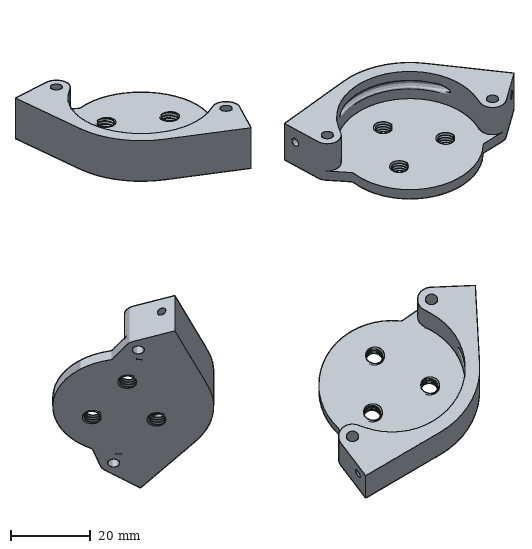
import cadquery as cq
import math

body_height = 11.7
plate_height = 3.0

plate_radius = 18.35

boss_distance = 21.95
boss_radius = 3.5
boss_hole_diameter = 3.0
boss_axis_angle = 35.0
web_start_angle = 19.3
notch_fillet = 1.0
edge_margin = 0.1

bore_flat_length = 1.5

wall_radius = 22.0
arm_angle = 29.5

channel_diameter = 2.2
channel_radius = 18.45
channel_height = 7.5
mouth_fillet = 0.3

thread_count = 3
thread_circle_radius = 9.38
first_thread_angle = 90.0
minor_diameter = 4.23
major_diameter = 5.12
thread_pitch = 0.8
groove_mouth = 0.7
groove_root = 0.1
groove_overlap = 0.03
ring_radius = 4.0
groove_top_angle = 15.0

arm_normal_angle = math.radians(arm_angle - 90)
arm_length = boss_distance * math.cos(math.radians(arm_angle)) + boss_radius


def polar(radius, angle):
    return radius * math.cos(angle), radius * math.sin(angle)


def along_arm(radius, distance):
    """Point on the right arm: `radius` out from the plate axis, `distance` along the arm."""
    across_x, across_y = polar(radius, arm_normal_angle)
    along_x, along_y = polar(distance, arm_normal_angle + math.pi / 2)
    return across_x + along_x, across_y + along_y


def mirrored(point):
    return -point[0], point[1]


def tangent_point_on_boss(start):
    """Where the upper tangent from `start` touches the right boss."""
    offset_x = start[0] - boss_distance
    offset_y = start[1]
    spread = math.acos(boss_radius / math.hypot(offset_x, offset_y))
    touch_x, touch_y = polar(boss_radius, math.atan2(offset_y, offset_x) - spread)
    return boss_distance + touch_x, touch_y


def notch_edges(right_notch):
    """Selects the upright edges where the two webs leave the rim."""
    boxes = []
    for x, y in (right_notch, mirrored(right_notch)):
        corner = (x - edge_margin, y - edge_margin, -edge_margin)
        opposite = (x + edge_margin, y + edge_margin, plate_height + edge_margin)
        boxes.append(cq.selectors.BoxSelector(corner, opposite, boundingbox=True))
    return boxes[0] + boxes[1]


def build_plate():
    disc = cq.Workplane("XY").circle(plate_radius).extrude(plate_height)
    web_start = polar(plate_radius, math.radians(web_start_angle))
    web_end = tangent_point_on_boss(web_start)
    webs = (
        cq.Workplane("XY")
        .polyline([
            (0, 0), web_start, web_end, (boss_distance, 0),
            (-boss_distance, 0), mirrored(web_end), mirrored(web_start),
        ])
        .close()
        .extrude(plate_height)
    )
    plate = disc.union(webs)
    return plate.edges(notch_edges(web_start)).fillet(notch_fillet)


def build_bore_flats():
    """Slivers that run the bore into the two bosses without a step."""
    flat_end = (math.sqrt(plate_radius**2 - bore_flat_length**2), -bore_flat_length)
    boss_side = (boss_distance - boss_radius, 0)
    return (
        cq.Workplane("XY")
        .polyline([boss_side, flat_end, mirrored(flat_end), mirrored(boss_side)])
        .close()
        .extrude(body_height)
    )


def build_channel():
    """Straight through each arm, joined by an arc around the wall."""
    right_end = along_arm(channel_radius, arm_length)
    right_tangent = along_arm(channel_radius, 0)
    path = (
        cq.Workplane("XY", origin=(0, 0, channel_height))
        .moveTo(*mirrored(right_end))
        .lineTo(*mirrored(right_tangent))
        .threePointArc((0, -channel_radius), right_tangent)
        .lineTo(*right_end)
    )
    end_x, end_y = mirrored(right_end)
    into_x, into_y = polar(1, -arm_normal_angle - math.pi / 2)
    end_plane = cq.Plane(
        origin=(end_x, end_y, channel_height),
        xDir=(*polar(1, math.pi - arm_normal_angle), 0),
        normal=(into_x, into_y, 0),
    )
    return cq.Workplane(end_plane).circle(channel_diameter / 2).sweep(path)


def build_wall():
    right_tangent = along_arm(wall_radius, 0)
    right_corner = along_arm(wall_radius, arm_length)
    right_boss_side = along_arm(boss_distance * math.cos(arm_normal_angle), arm_length)
    outline = (
        cq.Workplane("XY")
        .moveTo(-boss_distance, 0)
        .lineTo(*mirrored(right_boss_side))
        .lineTo(*mirrored(right_corner))
        .lineTo(*mirrored(right_tangent))
        .threePointArc((0, -wall_radius), right_tangent)
        .lineTo(*right_corner)
        .lineTo(*right_boss_side)
        .lineTo(boss_distance, 0)
        .close()
        .extrude(body_height)
    )
    bore = cq.Workplane("XY").circle(plate_radius).extrude(body_height)
    wall = outline.cut(bore).cut(build_bore_flats()).cut(build_channel())
    return wall.edges("%BSPLINE").fillet(mouth_fillet)


def boss_places(workplane):
    return workplane.pushPoints([(boss_distance, 0), (-boss_distance, 0)])


def build_body():
    body = build_plate().union(build_wall())
    body = body.union(boss_places(cq.Workplane("XY")).circle(boss_radius).extrude(body_height))
    body = body.cut(boss_places(cq.Workplane("XY")).circle(boss_hole_diameter / 2).extrude(body_height))
    return body


def build_threaded_ring():
    """Ring of plate material on the Z axis, tapped through with a helical groove."""
    turns_below_top = math.ceil(plate_height / thread_pitch) + 1
    start = plate_height - turns_below_top * thread_pitch
    length = (turns_below_top + 1) * thread_pitch
    bore_radius = minor_diameter / 2
    root_radius = major_diameter / 2
    inside_radius = bore_radius - groove_overlap
    flank_slope = (groove_mouth - groove_root) / 2 / (root_radius - bore_radius)
    inside_half = groove_root / 2 + flank_slope * (root_radius - inside_radius)
    helix = cq.Wire.makeHelix(thread_pitch, length, root_radius)
    groove = (
        cq.Workplane("XZ")
        .polyline([
            (inside_radius, -inside_half),
            (root_radius, -groove_root / 2),
            (root_radius, groove_root / 2),
            (inside_radius, inside_half),
        ])
        .close()
        .sweep(cq.Workplane(obj=helix), isFrenet=True)
        .translate((0, 0, start))
        .rotate((0, 0, 0), (0, 0, 1), groove_top_angle)
    )
    bore = cq.Workplane("XY").circle(bore_radius).extrude(plate_height)
    ring = cq.Workplane("XY").circle(ring_radius).extrude(plate_height)
    return ring.cut(groove).cut(bore)


def add_threaded_holes(body):
    places = []
    for index in range(thread_count):
        angle = math.radians(first_thread_angle + index * 360 / thread_count)
        places.append(polar(thread_circle_radius, angle))
    openings = cq.Workplane("XY").pushPoints(places).circle(ring_radius).extrude(plate_height)
    body = body.cut(openings)
    ring = build_threaded_ring()
    for x, y in places:
        body = body.union(ring.translate((x, y, 0)))
    return body


body = build_body().rotate((0, 0, 0), (0, 0, 1), boss_axis_angle)
result = add_threaded_holes(body)